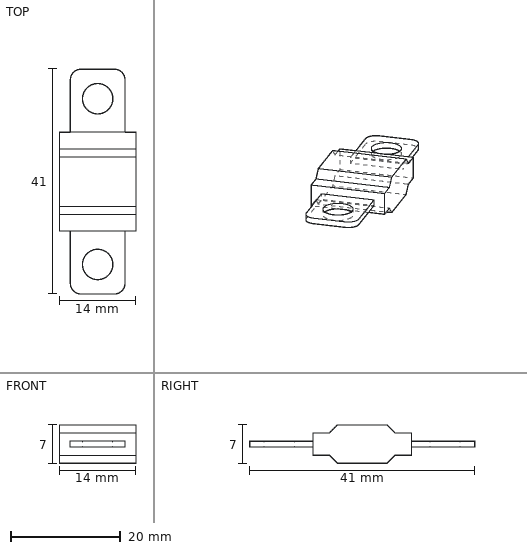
import cadquery as cq

housing_width = 14.0
housing_length = 18.0
housing_height = 7.0
shoulder_height = 4.1
crown_length = 9.0
crown_rise = (housing_height - shoulder_height) / 2
slope_run = crown_rise

blade_length = 41.0
blade_width = 10.0
blade_thickness = 1.1
blade_corner_radius = 2.0
hole_diameter = 5.5
hole_spacing = 30.18


def make_housing():
    """Extrude the stepped side profile across the width."""
    end_y = housing_length / 2
    crown_y = crown_length / 2
    slope_y = crown_y + slope_run
    shoulder_z = shoulder_height / 2
    crown_z = housing_height / 2
    upper_half = [
        (end_y, shoulder_z),
        (slope_y, shoulder_z),
        (crown_y, crown_z),
        (-crown_y, crown_z),
        (-slope_y, shoulder_z),
        (-end_y, shoulder_z),
    ]
    lower_half = [(-y, -z) for y, z in upper_half]
    profile = cq.Workplane("YZ").polyline(upper_half + lower_half).close()
    return profile.extrude(housing_width / 2, both=True)


def make_blade():
    """Round-cornered strip with a bolt hole near each end."""
    strip = cq.Workplane("XY").box(blade_width, blade_length, blade_thickness)
    strip = strip.edges("|Z").fillet(blade_corner_radius)
    hole_centers = [(0, hole_spacing / 2), (0, -hole_spacing / 2)]
    return strip.faces(">Z").workplane().pushPoints(hole_centers).hole(hole_diameter)


result = make_housing().union(make_blade())